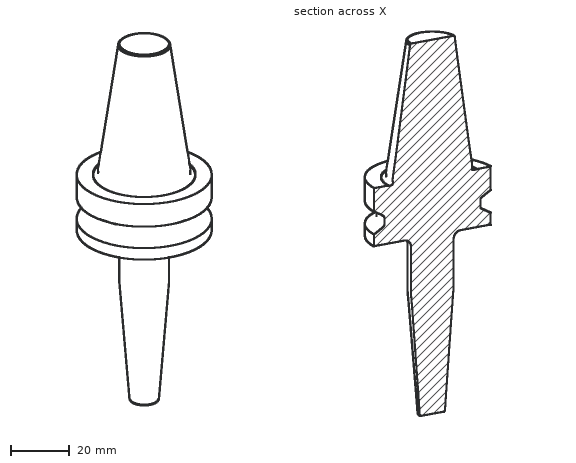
import cadquery as cq
import math

taper_length = 48.4
overall_length = 134.4
nose_bottom = taper_length - overall_length
flange_top = -1.0
flange_bottom = -22.0

gauge_radius = 31.75 / 2
taper_slope = 7 / 24 / 2
end_chamfer_width = 0.4
end_chamfer_height = 0.5

crest_top = 0.8
crest_bottom = 0.5
land_top = 0.1
land_radius = 15.67
root_fillet = 0.4

flange_radius = 46.0 / 2
recess_radius = 17.5
recess_wall_width = 0.2
recess_depth = 0.1
recess_floor = flange_top - recess_depth

groove_centre = -13.6
groove_width = 8.1
groove_floor_radius = 19.0
groove_flank_angle = math.radians(30)
groove_fillet = 1.0

shaft_radius = 8.5
shaft_fillet = 2.5
cone_top = -41.5
tip_radius = 5.06
tip_chamfer_width = 0.38
tip_chamfer_height = 0.5


def taper_radius(height):
    """Radius of the spindle taper at a height above the gauge plane."""
    return gauge_radius - taper_slope * height


def add_taper(profile):
    """Chamfered top end and taper flank, down to the crest."""
    chamfer_bottom = taper_length - end_chamfer_height
    return (
        profile.lineTo(taper_radius(taper_length) - end_chamfer_width, taper_length)
        .lineTo(taper_radius(chamfer_bottom), chamfer_bottom)
        .lineTo(taper_radius(crest_top), crest_top)
    )


def add_taper_root(profile):
    """Crest, straight land, root fillet and the recess in the flange face."""
    return (
        profile.lineTo(taper_radius(crest_top), crest_bottom)
        .lineTo(land_radius, land_top)
        .lineTo(land_radius, recess_floor + root_fillet)
        .radiusArc((land_radius + root_fillet, recess_floor), -root_fillet)
        .lineTo(recess_radius - recess_wall_width, recess_floor)
        .lineTo(recess_radius, flange_top)
    )


def add_flange(profile):
    """Flange rim with its V groove; fillets round the corners of the groove floor."""
    mouth = groove_width / 2
    floor = mouth - (flange_radius - groove_floor_radius) * math.tan(groove_flank_angle)
    turn = math.pi / 2 - groove_flank_angle
    tangent = groove_fillet * math.tan(turn / 2)
    flank_end_radius = groove_floor_radius + tangent * math.cos(groove_flank_angle)
    flank_end = floor + tangent * math.sin(groove_flank_angle)
    floor_end = floor - tangent
    return (
        profile.lineTo(flange_radius, flange_top)
        .lineTo(flange_radius, groove_centre + mouth)
        .lineTo(flank_end_radius, groove_centre + flank_end)
        .radiusArc((groove_floor_radius, groove_centre + floor_end), -groove_fillet)
        .lineTo(groove_floor_radius, groove_centre - floor_end)
        .radiusArc((flank_end_radius, groove_centre - flank_end), -groove_fillet)
        .lineTo(flange_radius, groove_centre - mouth)
        .lineTo(flange_radius, flange_bottom)
    )


def add_nose(profile):
    """Filleted shaft, cone and chamfered tip, ending on the axis."""
    return (
        profile.lineTo(shaft_radius + shaft_fillet, flange_bottom)
        .radiusArc((shaft_radius, flange_bottom - shaft_fillet), -shaft_fillet)
        .lineTo(shaft_radius, cone_top)
        .lineTo(tip_radius, nose_bottom + tip_chamfer_height)
        .lineTo(tip_radius - tip_chamfer_width, nose_bottom)
        .lineTo(0, nose_bottom)
    )


half_section = cq.Workplane("XZ").moveTo(0, taper_length)
for add_section in (add_taper, add_taper_root, add_flange, add_nose):
    half_section = add_section(half_section)

result = half_section.close().revolve(360, (0, 0, 0), (0, 1, 0))